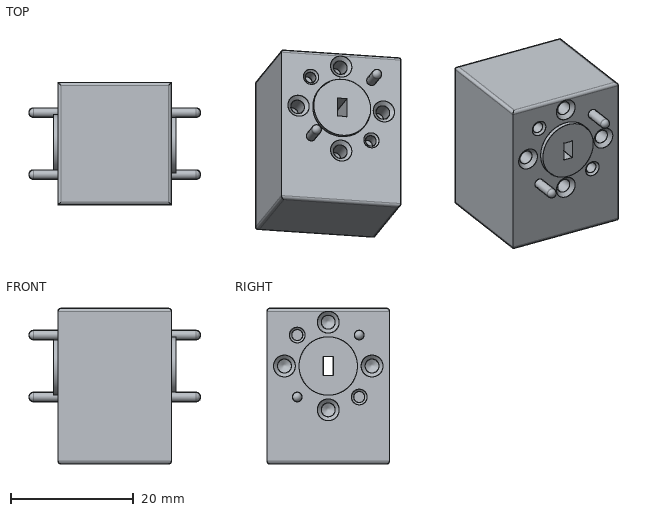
import cadquery as cq
import math

OVERALL_LENGTH = 28.0
BLOCK_LENGTH = 18.5
BLOCK_WIDTH = 20.0
BLOCK_HEIGHT = 25.4
EDGE_RADIUS = 0.5
HALF_LENGTH = BLOCK_LENGTH / 2

FLANGE_Z = 3.28
PATTERN_RADIUS = 7.15
SCREW_ANGLES = (0, 90, 180, 270)
PIN_ANGLES = (135, 315)
PIN_HOLE_ANGLES = (45, 225)
BOSS_DIAMETER = 9.52
BOSS_HEIGHT = 0.75
GUIDE_WIDTH = 1.6
GUIDE_HEIGHT = 3.05

PIN_DIAMETER = 1.57
PIN_LENGTH = (OVERALL_LENGTH - BLOCK_LENGTH) / 2

SCREW_BORE = 2.27
SCREW_MOUTH = 3.55
SCREW_DEPTH = 5.05
DRILL_POINT_ANGLE = 118.0
PIN_BORE = 1.8
PIN_MOUTH = 2.55
PIN_HOLE_DEPTH = 3.08
MOUTH_ANGLE = 90.0


def cone_depth(large_diameter, small_diameter, angle):
    """Axial length of a cone with the given included angle."""
    return (large_diameter - small_diameter) / 2 / math.tan(math.radians(angle / 2))


def pattern_point(angle):
    """Place on the pattern circle, measured from +Y towards +Z on the -X end."""
    turn = math.radians(angle)
    return PATTERN_RADIUS * math.cos(turn), FLANGE_Z + PATTERN_RADIUS * math.sin(turn)


def turned(profile, angle):
    """Revolve a (depth, radius) profile about X, at a pattern place on the -X end."""
    y, z = pattern_point(angle)
    solid = cq.Workplane("XY").polyline(profile).close().revolve(360, (0, 0, 0), (1, 0, 0))
    return solid.translate((-HALF_LENGTH, y, z))


def screw_hole(angle):
    mouth_depth = cone_depth(SCREW_MOUTH, SCREW_BORE, MOUTH_ANGLE)
    point_depth = SCREW_DEPTH + cone_depth(SCREW_BORE, 0, DRILL_POINT_ANGLE)
    return turned(
        [
            (0, 0),
            (0, SCREW_MOUTH / 2),
            (mouth_depth, SCREW_BORE / 2),
            (SCREW_DEPTH, SCREW_BORE / 2),
            (point_depth, 0),
        ],
        angle,
    )


def pin_hole(angle):
    mouth_depth = cone_depth(PIN_MOUTH, PIN_BORE, MOUTH_ANGLE)
    return turned(
        [
            (0, 0),
            (0, PIN_MOUTH / 2),
            (mouth_depth, PIN_BORE / 2),
            (PIN_HOLE_DEPTH, PIN_BORE / 2),
            (PIN_HOLE_DEPTH, 0),
        ],
        angle,
    )


def pin(angle):
    y, z = pattern_point(angle)
    radius = PIN_DIAMETER / 2
    straight_length = PIN_LENGTH - radius
    rod = cq.Workplane("YZ").circle(radius).extrude(-straight_length)
    tip = cq.Workplane("XY").sphere(radius).translate((-straight_length, 0, 0))
    return rod.union(tip).translate((-HALF_LENGTH, y, z))


def boss():
    disc = cq.Workplane("YZ").circle(BOSS_DIAMETER / 2).extrude(-BOSS_HEIGHT)
    return disc.translate((-HALF_LENGTH, 0, FLANGE_Z))


def on_both_ends(feature):
    """The feature on the -X end, plus its copy turned half a turn about Z."""
    return feature, feature.rotate((0, 0, 0), (0, 0, 1), 180)


result = cq.Workplane("XY").box(BLOCK_LENGTH, BLOCK_WIDTH, BLOCK_HEIGHT)
result = result.faces("<Z or >Z").edges().fillet(EDGE_RADIUS)

for raised in [boss()] + [pin(angle) for angle in PIN_ANGLES]:
    for placed in on_both_ends(raised):
        result = result.union(placed)

screw_holes = [screw_hole(angle) for angle in SCREW_ANGLES]
pin_holes = [pin_hole(angle) for angle in PIN_HOLE_ANGLES]
for hole in screw_holes + pin_holes:
    for placed in on_both_ends(hole):
        result = result.cut(placed)

guide = cq.Workplane("XY").box(OVERALL_LENGTH, GUIDE_WIDTH, GUIDE_HEIGHT)
result = result.cut(guide.translate((0, 0, FLANGE_Z)))